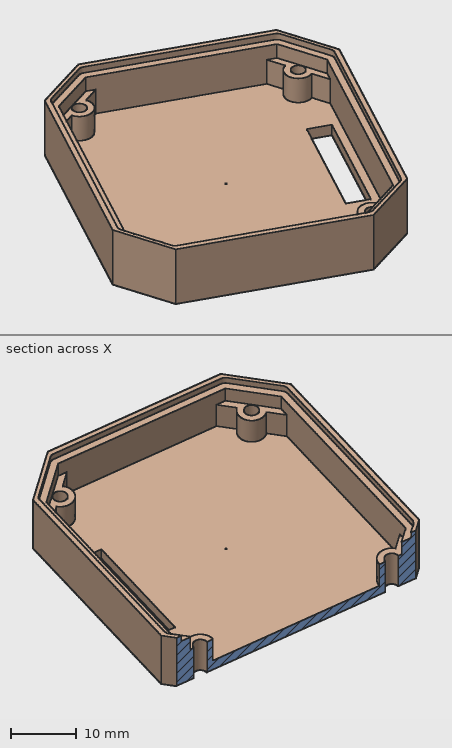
import cadquery as cq

LENGTH = 51.3
WIDTH = 47.0
HEIGHT = 10.23
OUTER_CHAMFER = 7.72

WALL = 2.1
FLOOR = 2.0
CAVITY_CHAMFER = 6.15
REBATE_WIDTH = 1.2
REBATE_DEPTH = 1.13

SUPPORT_HEIGHT = 4.5
WEB_THICKNESS = 1.15
POST_DIAMETER = 4.6
SCREW_HOLE_DIAMETER = 2.34
SCREW_X = 19.6
SCREW_Y = 17.45

WINDOW_LENGTH = 20.6
WINDOW_WIDTH = 4.0
WINDOW_CENTER_Y = 18.0
CENTER_HOLE_DIAMETER = 0.2

CAVITY_LENGTH = LENGTH - 2 * WALL
CAVITY_WIDTH = WIDTH - 2 * WALL
SCREW_POINTS = [(sx * SCREW_X, sy * SCREW_Y) for sx in (-1, 1) for sy in (-1, 1)]


def octagon_prism(length, width, chamfer, bottom, height):
    """Rectangular prism with its four vertical corners cut at 45 degrees."""
    return (
        cq.Workplane("XY")
        .workplane(offset=bottom)
        .rect(length, width)
        .extrude(height)
        .edges("|Z")
        .chamfer(chamfer)
    )


def make_cavity():
    return octagon_prism(CAVITY_LENGTH, CAVITY_WIDTH, CAVITY_CHAMFER, FLOOR, HEIGHT - FLOOR)


def make_rebate():
    """Cavity outline widened by the rebate, with rounded corners."""
    return (
        make_cavity()
        .faces(">Z")
        .wires()
        .toPending()
        .workplane()
        .offset2D(REBATE_WIDTH, "arc")
        .extrude(-REBATE_DEPTH, combine=False)
    )


def make_supports():
    """Webs across the cavity corners and their screw posts, trimmed to the cavity."""
    web_setback = CAVITY_CHAMFER + WEB_THICKNESS * 2**0.5
    open_middle = octagon_prism(CAVITY_LENGTH, CAVITY_WIDTH, web_setback, FLOOR, SUPPORT_HEIGHT)
    corners = (
        cq.Workplane("XY")
        .workplane(offset=FLOOR)
        .rect(CAVITY_LENGTH, CAVITY_WIDTH)
        .extrude(SUPPORT_HEIGHT)
        .cut(open_middle)
    )
    posts = (
        cq.Workplane("XY")
        .workplane(offset=FLOOR)
        .pushPoints(SCREW_POINTS)
        .circle(POST_DIAMETER / 2)
        .extrude(SUPPORT_HEIGHT)
    )
    return corners.union(posts).intersect(make_cavity())


def make_screw_holes():
    return (
        cq.Workplane("XY")
        .pushPoints(SCREW_POINTS)
        .circle(SCREW_HOLE_DIAMETER / 2)
        .extrude(FLOOR + SUPPORT_HEIGHT)
    )


def make_floor_openings():
    window = cq.Workplane("XY").center(0, WINDOW_CENTER_Y).rect(WINDOW_LENGTH, WINDOW_WIDTH).extrude(FLOOR)
    center_hole = cq.Workplane("XY").circle(CENTER_HOLE_DIAMETER / 2).extrude(FLOOR)
    return window.union(center_hole)


result = (
    octagon_prism(LENGTH, WIDTH, OUTER_CHAMFER, 0, HEIGHT)
    .cut(make_cavity())
    .cut(make_rebate())
    .union(make_supports())
    .cut(make_screw_holes())
    .cut(make_floor_openings())
)